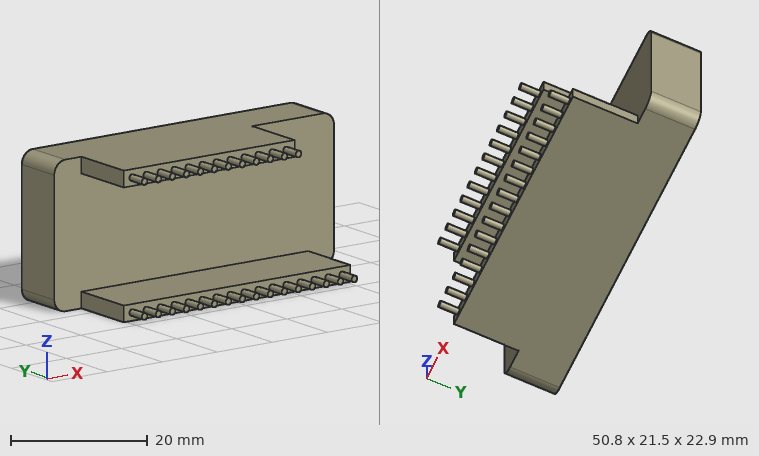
import cadquery as cq

body_length = 50.8
body_height = 22.85
body_depth = 8.05
corner_radius = 2.05

header_start = 4.95
header_height = 2.55
header_depth = 10.4

pin_pitch = 2.55
pin_diameter = 1.0
pin_length = 3.05
pin_end_margin = 1.5
top_pin_count = 12
bottom_pin_count = 16

header_front = -header_depth


def make_body():
    return (
        cq.Workplane("XY")
        .box(body_length, body_depth, body_height, centered=False)
        .edges("|Y")
        .fillet(corner_radius)
    )


def make_header(pin_count, bottom):
    """One strip with its row of pins, its underside at the given height."""
    length = (pin_count - 1) * pin_pitch + 2 * pin_end_margin
    strip = (
        cq.Workplane("XY")
        .box(length, header_depth, header_height, centered=False)
        .translate((header_start, header_front, bottom))
    )
    first_pin = header_start + pin_end_margin
    pin_axis_height = bottom + header_height / 2
    pin_axes = [(first_pin + i * pin_pitch, pin_axis_height) for i in range(pin_count)]
    pins = (
        cq.Workplane("XZ", origin=(0, header_front, 0))
        .pushPoints(pin_axes)
        .circle(pin_diameter / 2)
        .extrude(pin_length)
    )
    return strip.union(pins)


bottom_header = make_header(bottom_pin_count, 0)
top_header = make_header(top_pin_count, body_height - header_height)
result = make_body().union(bottom_header).union(top_header)